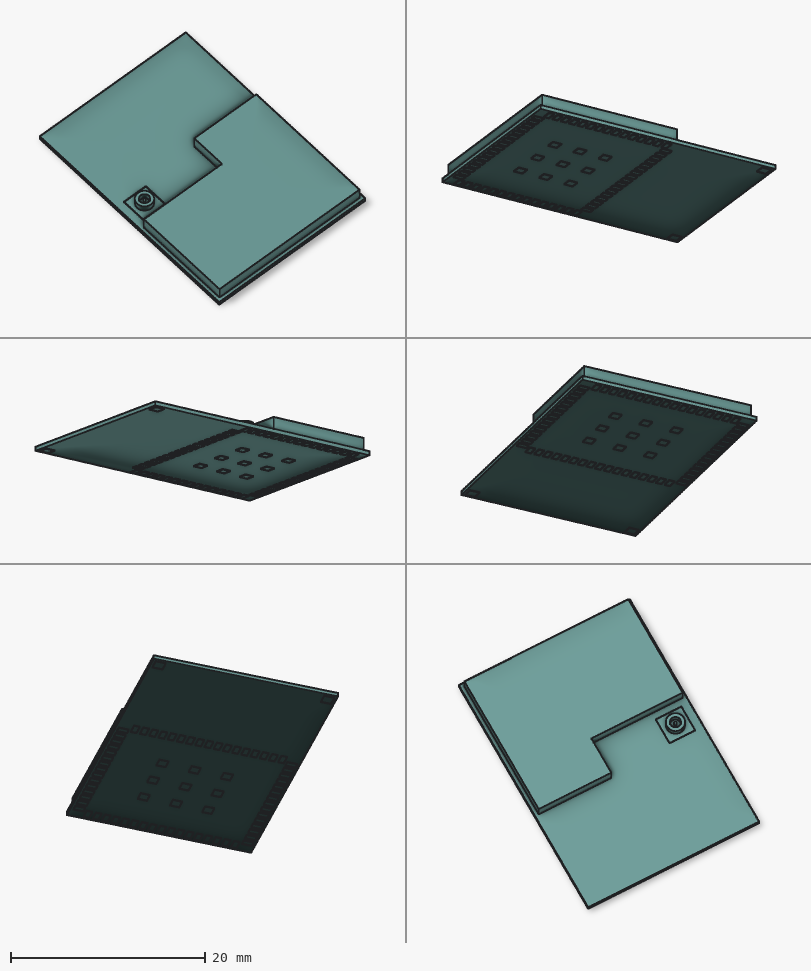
import cadquery as cq

board_length = 28.0
pitch = board_length / 28
board_width = 20 * pitch
board_thickness = 0.45

pad_width = 0.62
pad_length = 1.1 * pitch
pad_thickness = 0.08
pad_edge_gap = 0.3 * pitch
ground_pad_size = pitch
row_pad_count = 15
column_pad_count = 17
last_row_pad_x = 12.5 * pitch
inner_column_x = -2.07
ground_pad_x = 5.5 * pitch
ground_spacing_x = 3 * pitch
ground_spacing_y = 3.5 * pitch

lid_height = 1.45
lid_margin = 0.42
lid_left = -2.52
lid_step_x = 1.8
lid_step_y = 1.1

connector_x = -0.5 * pitch
connector_y = -7.5 * pitch
base_size = 3.0
base_thickness = 0.08
ring_diameter = 2.0
ring_bore = 1.15
ring_top = 0.8
pin_diameter = 0.3
pin_top = 0.7

half_length = board_length / 2
half_width = board_width / 2
edge_pad_inset = pad_edge_gap + pad_length / 2
edge_pad_x = half_length - edge_pad_inset
edge_pad_y = half_width - edge_pad_inset


def pads(size_x, size_y, centres):
    """Equal flat pads hanging from the underside of the board (Z = 0)."""
    return cq.Workplane("XY").pushPoints(centres).rect(size_x, size_y).extrude(-pad_thickness)


def make_board():
    return cq.Workplane("XY").rect(board_length, board_width).extrude(board_thickness)


def add_pads(body):
    row_xs = [last_row_pad_x - i * pitch for i in range(row_pad_count)]
    row_centres = [(x, side * edge_pad_y) for x in row_xs for side in (-1, 1)]
    body = body.union(pads(pad_width, pad_length, row_centres))

    column_ys = [(i - (column_pad_count - 1) / 2) * pitch for i in range(column_pad_count)]
    column_centres = [(x, y) for x in (inner_column_x, edge_pad_x) for y in column_ys]
    body = body.union(pads(pad_length, pad_width, column_centres))

    corner_centres = [(-edge_pad_x, side * edge_pad_y) for side in (-1, 1)]
    body = body.union(pads(pad_length, pad_length, corner_centres))

    steps = (-1, 0, 1)
    ground_xs = [ground_pad_x + step * ground_spacing_x for step in steps]
    ground_ys = [step * ground_spacing_y for step in steps]
    ground_centres = [(x, y) for x in ground_xs for y in ground_ys]
    return body.union(pads(ground_pad_size, ground_pad_size, ground_centres))


def make_lid():
    right = half_length - lid_margin
    back = half_width - lid_margin
    top_of_board = cq.Workplane("XY", origin=(0, 0, board_thickness))
    outline = [
        (lid_left, back),
        (right, back),
        (right, -back),
        (lid_step_x, -back),
        (lid_step_x, lid_step_y),
        (lid_left, lid_step_y),
    ]
    return top_of_board.polyline(outline).close().extrude(lid_height)


def make_connector():
    """Square base carrying an open ring and a round-tipped centre pin."""
    plane = cq.Workplane("XY", origin=(connector_x, connector_y, board_thickness))
    base = plane.rect(base_size, base_size).extrude(base_thickness)
    ring = plane.circle(ring_diameter / 2).circle(ring_bore / 2).extrude(ring_top)
    pin_radius = pin_diameter / 2
    pin = plane.circle(pin_radius).extrude(pin_top - pin_radius)
    tip = plane.workplane(offset=pin_top - pin_radius).sphere(pin_radius)
    return base.union(ring).union(pin).union(tip)


result = add_pads(make_board()).union(make_lid()).union(make_connector())